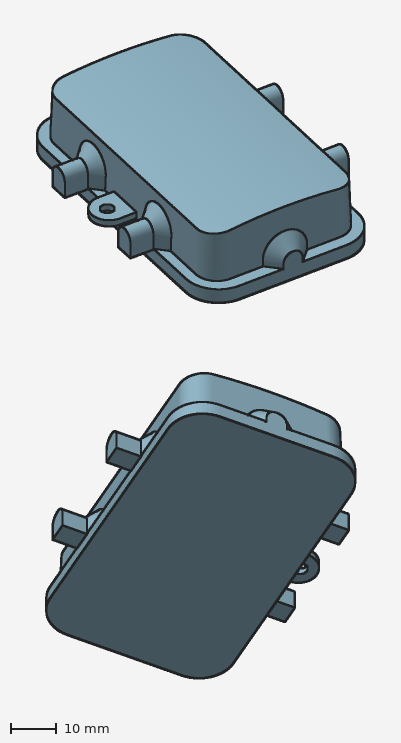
import cadquery as cq

gasket_thickness = 0.15

flange_length = 75.1
flange_width = 45.0
flange_radius = 8.5
flange_top = 3.75

hood_length = 68.6
hood_width = 39.5
hood_corner_radius = 5.5
hood_draft = 1.5
crown_top = 17.5
crown_edge = 15.9

pin_radius = 2.5
pin_spacing = 26.65
pin_axis_height = 7.65
pin_bottom = 3.5
overall_width = 57.0

stud_axis_height = 5.1

eyelet_radius = 4.6
eyelet_hole_diameter = 3.2
eyelet_hole_y = -24.4
eyelet_bottom = 4.0
eyelet_top = 5.7

embed = 0.75

overall_reach = overall_width / 2
eyelet_centre_y = eyelet_radius - overall_reach
cover_height = crown_top - flange_top


def make_rounded_plate(bottom, top):
    """Plate with the flange outline between two heights."""
    plate = cq.Workplane("XY", origin=(0, 0, bottom)).rect(flange_length, flange_width).extrude(top - bottom)
    return plate.edges("|Z").fillet(flange_radius)


def make_hood():
    """Drafted block with constant corner radii, trimmed by the crown."""
    block = (
        cq.Workplane("XY", origin=(0, 0, flange_top))
        .rect(hood_length, hood_width)
        .extrude(cover_height, taper=hood_draft)
    )
    block = block.edges("not #Z").fillet(hood_corner_radius)
    half_width = hood_width / 2
    under_crown = (
        cq.Workplane("YZ")
        .moveTo(-half_width, 0)
        .lineTo(-half_width, crown_edge)
        .threePointArc((0, crown_top), (half_width, crown_edge))
        .lineTo(half_width, 0)
        .close()
        .extrude(hood_length / 2, both=True)
    )
    return block.intersect(under_crown)


def make_conical_root(axis_height, start, end):
    """45 degree cone toward -Y that narrows to the pin radius, on a straight-sided foot."""
    depth = end - start
    base_radius = pin_radius + depth
    cone = cq.Workplane("XZ", origin=(0, -start, axis_height)).circle(base_radius).extrude(depth, taper=45)
    foot = (
        cq.Workplane("XY", origin=(0, 0, flange_top))
        .moveTo(-base_radius, -start)
        .lineTo(base_radius, -start)
        .lineTo(pin_radius, -end)
        .lineTo(-pin_radius, -end)
        .close()
        .extrude(axis_height - flange_top)
    )
    above_flange = (
        cq.Workplane("XY", origin=(0, 0, flange_top))
        .rect(2 * flange_length, 2 * flange_length)
        .extrude(cover_height)
    )
    return cone.intersect(above_flange).union(foot)


def make_pin():
    """Round-topped pin toward -Y with its conical root."""
    flange_edge = flange_width / 2
    root = make_conical_root(pin_axis_height, hood_width / 2 - embed, flange_edge)
    shank_start = flange_edge - embed
    shank = (
        cq.Workplane("XZ", origin=(0, -shank_start, 0))
        .moveTo(-pin_radius, pin_bottom)
        .lineTo(-pin_radius, pin_axis_height)
        .threePointArc((0, pin_axis_height + pin_radius), (pin_radius, pin_axis_height))
        .lineTo(pin_radius, pin_bottom)
        .close()
        .extrude(overall_reach - shank_start)
    )
    return root.union(shank)


def make_stud():
    """Conical stud toward -Y, ending flush with the short side of the flange."""
    return make_conical_root(stud_axis_height, hood_length / 2 - embed, flange_length / 2)


def make_eyelet():
    """Round-ended tab with a hole a little outside the centre of its arc."""
    root_y = embed - hood_width / 2
    thickness = eyelet_top - eyelet_bottom
    tab = (
        cq.Workplane("XY", origin=(0, 0, eyelet_bottom))
        .moveTo(-eyelet_radius, root_y)
        .lineTo(-eyelet_radius, eyelet_centre_y)
        .threePointArc((0, -overall_reach), (eyelet_radius, eyelet_centre_y))
        .lineTo(eyelet_radius, root_y)
        .close()
        .extrude(thickness)
    )
    hole = (
        cq.Workplane("XY", origin=(0, eyelet_hole_y, eyelet_bottom))
        .circle(eyelet_hole_diameter / 2)
        .extrude(thickness)
    )
    return tab.cut(hole)


def turn(shape, angle):
    """Rotate a shape about the vertical centre axis."""
    return shape.rotate((0, 0, 0), (0, 0, 1), angle)


def make_cover():
    cover = make_rounded_plate(gasket_thickness, flange_top).union(make_hood())
    for side_angle in (0, 180):
        for pin_x in (-pin_spacing / 2, pin_spacing / 2):
            cover = cover.union(turn(make_pin().translate((pin_x, 0, 0)), side_angle))
        cover = cover.union(turn(make_stud(), side_angle + 90))
    return cover.union(make_eyelet())


gasket = make_rounded_plate(0, gasket_thickness)
cover = make_cover()

result = cq.Compound.makeCompound([cover.val(), gasket.val()])